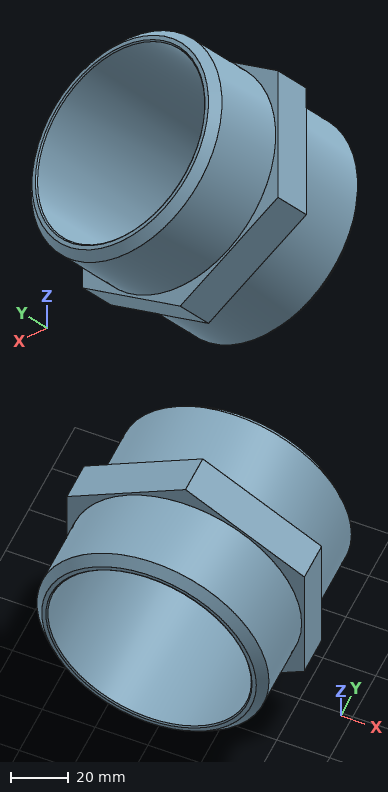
import cadquery as cq

hex_across_corners = 103.9
hex_thickness = 15.0
body_length = 78.4
body_diameter = 87.9
bore_diameter = 77.0
end_chamfer = 3.3
bore_chamfer = 0.5


def centred_on_y(thickness):
    """Workplane normal to Y from which a solid of this thickness straddles the origin."""
    return cq.Workplane("XZ", origin=(0, thickness / 2, 0))


body = (
    centred_on_y(body_length)
    .circle(body_diameter / 2)
    .extrude(body_length)
    .edges()
    .chamfer(end_chamfer)
)

hexagon = (
    centred_on_y(hex_thickness)
    .transformed(rotate=(0, 0, 90))
    .polygon(6, hex_across_corners)
    .extrude(hex_thickness)
)

bore = centred_on_y(body_length).circle(bore_diameter / 2).extrude(body_length)

bore_mouths = cq.selectors.RadiusNthSelector(0)
pierced = body.union(hexagon).cut(bore)
result = pierced.faces("<Y or >Y").edges(bore_mouths).chamfer(bore_chamfer)